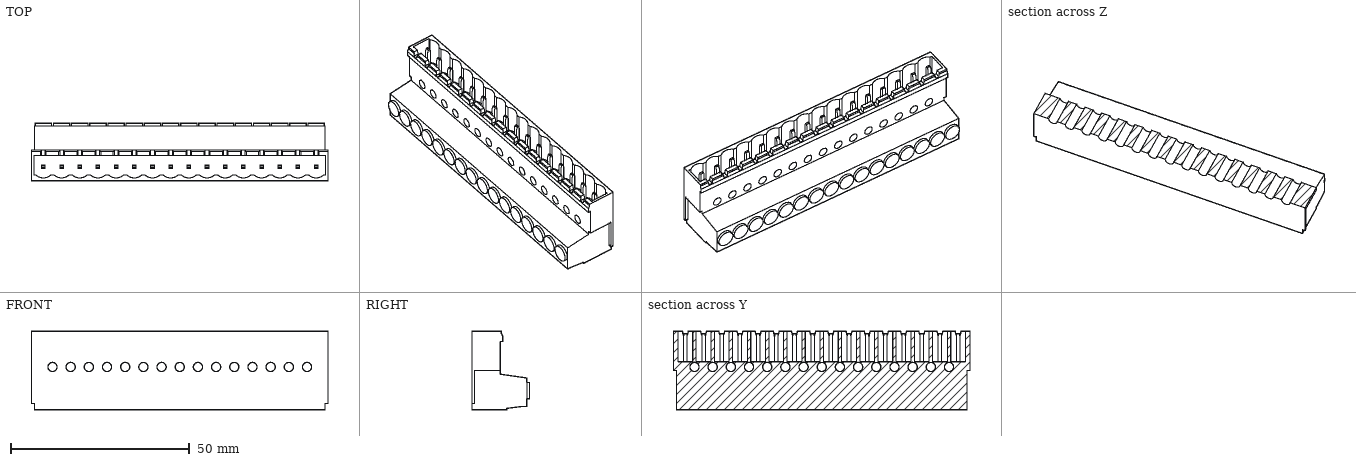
import cadquery as cq

pole_count = 16
pitch = 5.08
total_length = 82.89
total_height = 22.0
total_depth = 16.15

body_length = pole_count * pitch
body_depth = 15.4
body_rear_top_z = 8.95
body_step_z = 10.0
body_rear_bottom_z = 0.95
underside_flat_end_y = 14.2
underside_step_y = 9.8
underside_step_z = 0.4

housing_depth = 8.0
housing_bottom_z = 11.0
apron_thickness = 0.75
apron_bottom_z = 1.75

lip_top_y = 8.25
lip_outer_y = 8.7
lip_bottom_z = 19.1
lip_slope_bottom_z = 20.6
lip_slope_top_z = 21.4

cavity_floor_z = 13.5
cavity_end_wall = 0.7
cavity_front_y = 1.65
cavity_rear_y = 7.1
scallop_width = 4.1
scallop_front_y = 0.85

notch_top_width = 1.6
notch_bottom_width = 1.0
notch_depth = 1.25

pin_width = 1.0
pin_center_y = 3.95
pin_top_z = 21.3
pin_tip_height = 0.8
pin_tip_thickness = 0.5

hole_diameter = 2.5
hole_z = 12.0

screw_diameter = 4.65
screw_z = 5.4


def centered_positions(count):
    """X positions of count features, one pitch apart and centred on X = 0."""
    return [(index - (count - 1) / 2) * pitch for index in range(count)]


pole_positions = centered_positions(pole_count)
hole_positions = centered_positions(pole_count - 1)


def extrude_along_x(outline, length):
    """Prism with a (Y, Z) outline, centred on X = 0."""
    return cq.Workplane("YZ").polyline(outline).close().extrude(length / 2, both=True)


def make_body():
    outline = [
        (0, 0),
        (underside_step_y, 0),
        (underside_step_y, underside_step_z),
        (underside_flat_end_y, body_rear_bottom_z),
        (body_depth, body_rear_bottom_z),
        (body_depth, body_rear_top_z),
        (housing_depth, body_step_z),
        (housing_depth, housing_bottom_z),
        (0, housing_bottom_z),
    ]
    return extrude_along_x(outline, body_length)


def make_housing():
    outline = [
        (0, apron_bottom_z),
        (apron_thickness, apron_bottom_z),
        (apron_thickness, housing_bottom_z),
        (housing_depth, housing_bottom_z),
        (housing_depth, lip_bottom_z),
        (lip_outer_y, lip_bottom_z),
        (lip_outer_y, lip_slope_bottom_z),
        (lip_top_y, lip_slope_top_z),
        (lip_top_y, total_height),
        (0, total_height),
    ]
    return extrude_along_x(outline, total_length)


def make_cavity():
    half_length = total_length / 2 - cavity_end_wall
    outline = (
        cq.Workplane("XY", origin=(0, 0, cavity_floor_z))
        .moveTo(-half_length, cavity_rear_y)
        .lineTo(-half_length, cavity_front_y)
    )
    for x in pole_positions:
        outline = outline.lineTo(x - scallop_width / 2, cavity_front_y)
        outline = outline.threePointArc((x, scallop_front_y), (x + scallop_width / 2, cavity_front_y))
    outline = outline.lineTo(half_length, cavity_front_y).lineTo(half_length, cavity_rear_y)
    return outline.close().extrude(total_height - cavity_floor_z)


def make_notch(x):
    bottom_z = total_height - notch_depth
    outline = [
        (x - notch_bottom_width / 2, bottom_z),
        (x + notch_bottom_width / 2, bottom_z),
        (x + notch_top_width / 2, total_height),
        (x - notch_top_width / 2, total_height),
    ]
    notch = cq.Workplane("XZ", origin=(0, cavity_rear_y, 0)).polyline(outline).close()
    return notch.extrude(-(lip_outer_y - cavity_rear_y))


def make_pin(x):
    shoulder_z = pin_top_z - pin_tip_height
    outline = [
        (pin_center_y - pin_width / 2, cavity_floor_z),
        (pin_center_y + pin_width / 2, cavity_floor_z),
        (pin_center_y + pin_width / 2, shoulder_z),
        (pin_center_y + pin_tip_thickness / 2, pin_top_z),
        (pin_center_y - pin_tip_thickness / 2, pin_top_z),
        (pin_center_y - pin_width / 2, shoulder_z),
    ]
    return extrude_along_x(outline, pin_width).translate((x, 0, 0))


def make_holes():
    centers = [(x, hole_z) for x in hole_positions]
    return cq.Workplane("XZ").pushPoints(centers).circle(hole_diameter / 2).extrude(-housing_depth)


def make_screw_heads():
    centers = [(x, screw_z) for x in pole_positions]
    rear_face = cq.Workplane("XZ", origin=(0, body_depth, 0))
    return rear_face.pushPoints(centers).circle(screw_diameter / 2).extrude(body_depth - total_depth)


result = make_body().union(make_housing()).union(make_screw_heads())
result = result.cut(make_cavity()).cut(make_holes())
for pole_x in pole_positions:
    result = result.cut(make_notch(pole_x)).union(make_pin(pole_x))